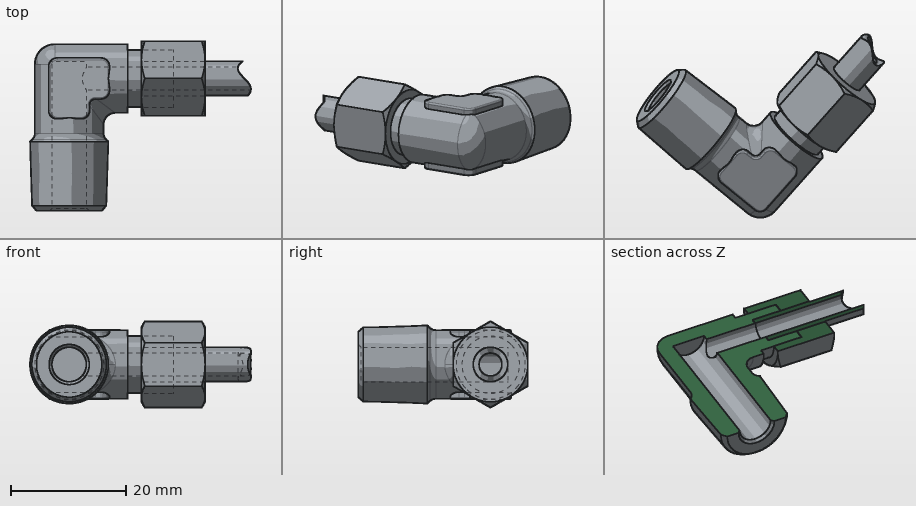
import cadquery as cq
import math


arm_r = 6.0
corner_r = 3.5
corner_y = arm_r - corner_r
crotch_r = 2.0
shoulder_x = 10.15
neck_r = 5.0
neck_end_x = 18.05

spigot_end = 23.0
spigot_length = 12.02
spigot_r = 13.65 / 2
end_face_r = 5.7
end_chamfer = 0.92
taper = 1 / 32
flare_r = 1.5
flare_angle = math.radians(45)

pad_half_width = 3.57
pad_reach = 7.03
pad_corner_r = 1.5
pad_notch_r = 1.0
pad_edge_r = 0.3
pad_root = 3.45
pad_top = arm_r + 0.02

tube_r = 3.0
tube_bore_r = 2.0
tube_insertion = 5.5
tube_start_x = neck_end_x - tube_insertion
break_start = (30.15, tube_r)
break_hollow = (29.35, 1.5)
break_middle = (30.45, 0)
break_crest = (31.57, -1.57)
break_end = (31.0, -tube_r)

bore_r = 3.0
bore_chamfer = 0.5
bore_floor_y = bore_r

nut_start_x = 12.55
nut_length = 11.05
nut_corners = 15.0
nut_chamfer_angle = math.radians(30)


def rod_x(radius, start, end):
    """Round rod on the X axis."""
    return cq.Workplane("YZ", origin=(start, 0, 0)).circle(radius).extrude(end - start)


def rod_y(radius, start, end):
    """Round rod on the Y axis."""
    return cq.Workplane("XZ", origin=(0, end, 0)).circle(radius).extrude(end - start)


def make_spigot_arm():
    """Round arm that flares into a tapered spigot with a chamfered end."""
    root_y = spigot_length - spigot_end
    arc_rise = flare_r * (1 - math.cos(flare_angle))
    arc_run = flare_r * math.sin(flare_angle)
    cone = spigot_r - arm_r - arc_rise
    flare_y = root_y + cone + arc_run
    half = flare_angle / 2
    arc_middle = (
        arm_r + flare_r * (1 - math.cos(half)),
        flare_y - flare_r * math.sin(half),
    )
    chamfer_y = end_chamfer - spigot_end
    chamfer_r = spigot_r - taper * (root_y - chamfer_y)
    return (
        cq.Workplane("XY")
        .moveTo(0, corner_y)
        .lineTo(arm_r, corner_y)
        .lineTo(arm_r, flare_y)
        .threePointArc(arc_middle, (arm_r + arc_rise, root_y + cone))
        .lineTo(spigot_r, root_y)
        .lineTo(chamfer_r, chamfer_y)
        .lineTo(end_face_r, -spigot_end)
        .lineTo(0, -spigot_end)
        .close()
        .revolve(360, (0, 0, 0), (0, 1, 0))
    )


def make_outer_corner():
    """Quarter turn of the segment of the arm section that lies outside the corner axis."""
    half_chord = math.sqrt(arm_r**2 - corner_y**2)
    return (
        cq.Workplane("XZ", origin=(0, corner_y, 0))
        .moveTo(-corner_y, half_chord)
        .threePointArc((-arm_r, 0), (-corner_y, -half_chord))
        .close()
        .revolve(90, (-corner_y, 0.4, 0), (-corner_y, -0.4, 0))
    )


def make_arms():
    """Two round arms with a turned outer corner and a filleted crotch."""
    arms = make_spigot_arm().union(rod_x(arm_r, -corner_y, shoulder_x))
    far = arm_r + 0.4
    near = 0.4
    crotch = cq.selectors.BoxSelector((near, -near, -far), (far, -far, far))
    arms = arms.edges(crotch).fillet(crotch_r)
    return arms.union(make_outer_corner())


def make_pad():
    """L-shaped pad on the +Z side, with rounded corners and a rounded top edge."""
    w = pad_half_width
    outline = [(-w, w), (pad_reach, w), (pad_reach, -w), (w, -w), (w, -pad_reach), (-w, -pad_reach)]
    upright = cq.selectors.ParallelDirSelector(cq.Vector(0, 0, 1))
    notch = cq.selectors.NearestToPointSelector((w, -w, (pad_root + pad_top) / 2))
    return (
        cq.Workplane("XY")
        .workplane(offset=pad_root)
        .polyline(outline)
        .close()
        .extrude(pad_top - pad_root)
        .edges(upright - notch)
        .fillet(pad_corner_r)
        .edges(notch)
        .fillet(pad_notch_r)
        .faces(">Z")
        .edges()
        .fillet(pad_edge_r)
    )


def make_spigot_bore():
    """Bore with a chamfered mouth and a flat floor."""
    mouth = cq.Workplane("XY").add(
        cq.Solid.makeCone(
            bore_r + bore_chamfer, bore_r, bore_chamfer, cq.Vector(0, -spigot_end, 0), cq.Vector(0, 1, 0)
        )
    )
    return rod_y(bore_r, -spigot_end, bore_floor_y).union(mouth)


def make_elbow():
    pad = make_pad()
    elbow = make_arms().union(rod_x(neck_r, 0, neck_end_x))
    elbow = elbow.union(pad).union(pad.mirror("XY"))
    passage = rod_x(tube_bore_r, 0, tube_start_x)
    socket = rod_x(tube_r, tube_start_x, neck_end_x)
    return elbow.cut(make_spigot_bore()).cut(passage).cut(socket)


def make_nut():
    """Hexagon with corners at +Z and -Z, turned down at both ends to its inscribed circle."""
    flat_r = nut_corners / 2 * math.cos(math.radians(30))
    end_x = nut_start_x + nut_length
    hexagon = (
        cq.Workplane("YZ", origin=(nut_start_x, 0, 0))
        .transformed(rotate=(0, 0, 90))
        .polygon(6, nut_corners)
        .extrude(nut_length)
    )
    outer_r = nut_corners
    chamfer = (outer_r - flat_r) * math.tan(nut_chamfer_angle)
    turned = (
        cq.Workplane("XY")
        .polyline(
            [
                (nut_start_x, 0),
                (nut_start_x, flat_r),
                (nut_start_x + chamfer, outer_r),
                (end_x - chamfer, outer_r),
                (end_x, flat_r),
                (end_x, 0),
            ]
        )
        .close()
        .revolve(360, (0, 0, 0), (1, 0, 0))
    )
    thread_hole = rod_x(neck_r, nut_start_x, neck_end_x)
    tube_hole = rod_x(tube_r, neck_end_x, end_x)
    return hexagon.intersect(turned).cut(thread_hole).cut(tube_hole)


def make_tube():
    """Hollow tube whose free end is broken off in an S-shaped wave."""
    margin = 1.15
    far_x = break_crest[0] + margin
    waste = (
        cq.Workplane("XY", origin=(0, 0, -tube_r - margin))
        .moveTo(*break_start)
        .spline([break_hollow, break_middle, break_crest, break_end], includeCurrent=True)
        .lineTo(break_end[0] - margin, -tube_r - margin)
        .lineTo(far_x, -tube_r - margin)
        .lineTo(far_x, tube_r + margin)
        .lineTo(break_start[0] + margin, tube_r + margin)
        .close()
        .extrude(2 * (tube_r + margin))
    )
    blank = rod_x(tube_r, tube_start_x, break_crest[0] + margin / 2)
    return blank.cut(rod_x(tube_bore_r, tube_start_x, far_x)).cut(waste)


elbow = make_elbow()
nut = make_nut()
tube = make_tube()
result = cq.Compound.makeCompound([elbow.val(), nut.val(), tube.val()])